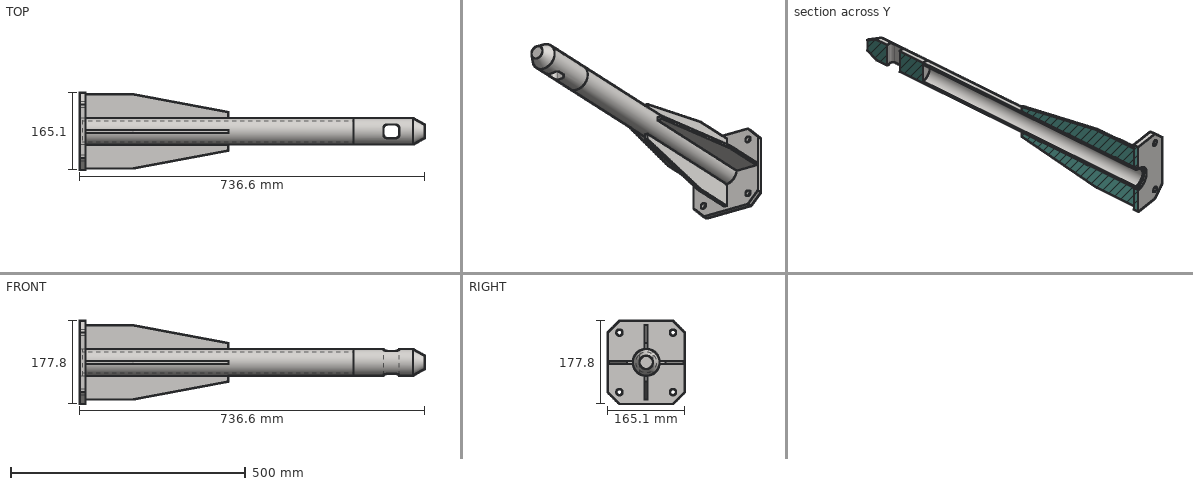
import cadquery as cq

INCH = 25.4

plate_thickness = 0.5 * INCH
plate_width = 6.5 * INCH
plate_height = 7.0 * INCH
plate_corner_cut = 1.0 * INCH
bolt_hole_diameter = 0.5 * INCH
bolt_hole_inset = 1.0 * INCH

overall_length = 29.0 * INCH
tube_diameter = 2.25 * INCH
tube_wall = 0.25 * INCH
tube_recess = 0.25 * INCH

tip_length = 6.0 * INCH
tip_start = overall_length - tip_length
cone_length = 1.0 * INCH
cone_end_diameter = 1.125 * INCH

slot_length = 1.3125 * INCH
slot_width = 1.125 * INCH
slot_corner_radius = 0.3125 * INCH
slot_to_end = 2.8125 * INCH

fin_count = 4
fin_thickness = 0.25 * INCH
fin_length = 12.0 * INCH
fin_straight_length = 4.0 * INCH
fin_root_reach = 3.125 * INCH
fin_end_reach = 1.625 * INCH


def cylinder_along_x(diameter, start, end):
    return cq.Workplane("YZ", origin=(start, 0, 0)).circle(diameter / 2).extrude(end - start)


def make_plate():
    """Plate with cut corners, a bore for the tube and a bolt hole near each corner."""
    bolt_spacing_y = plate_width - 2 * bolt_hole_inset
    bolt_spacing_z = plate_height - 2 * bolt_hole_inset
    blank = (
        cq.Workplane("YZ")
        .rect(plate_width, plate_height)
        .extrude(plate_thickness)
        .edges("|X")
        .chamfer(plate_corner_cut)
    )
    bolt_holes = (
        cq.Workplane("YZ")
        .rect(bolt_spacing_y, bolt_spacing_z, forConstruction=True)
        .vertices()
        .circle(bolt_hole_diameter / 2)
        .extrude(plate_thickness)
    )
    return blank.cut(bolt_holes).cut(cylinder_along_x(tube_diameter, 0, plate_thickness))


def make_tube():
    """Open tube from its seat in the plate to the tip."""
    bore_diameter = tube_diameter - 2 * tube_wall
    outside = cylinder_along_x(tube_diameter, tube_recess, tip_start)
    return outside.cut(cylinder_along_x(bore_diameter, tube_recess, tip_start))


def make_tip():
    """Solid round tip with a conical nose and a slot from top to bottom."""
    cone_start = overall_length - cone_length
    profile = [
        (tip_start, 0),
        (tip_start, tube_diameter / 2),
        (cone_start, tube_diameter / 2),
        (overall_length, cone_end_diameter / 2),
        (overall_length, 0),
    ]
    body = cq.Workplane("XY").polyline(profile).close().revolve(360, (0, 0, 0), (1, 0, 0))
    slot = (
        cq.Workplane("XY", origin=(overall_length - slot_to_end, 0, 0))
        .rect(slot_length, slot_width)
        .extrude(tube_diameter / 2, both=True)
        .edges("|Z")
        .fillet(slot_corner_radius)
    )
    return body.cut(slot)


def make_fin(angle):
    """One tapered flat fin with its inner edge on the tube, turned about X by the angle in degrees."""
    fin_start = plate_thickness
    fin_end = fin_start + fin_length
    outline = [
        (fin_start, tube_diameter / 2),
        (fin_start, fin_root_reach),
        (fin_start + fin_straight_length, fin_root_reach),
        (fin_end, fin_end_reach),
        (fin_end, tube_diameter / 2),
    ]
    fin = cq.Workplane("XY").polyline(outline).close().extrude(fin_thickness / 2, both=True)
    return fin.rotate((0, 0, 0), (1, 0, 0), angle)


plate = make_plate()
tube = make_tube()
tip = make_tip()
fins = [make_fin(i * 360 / fin_count) for i in range(fin_count)]

result = cq.Compound.makeCompound(
    [plate.val(), tube.val(), tip.val(), *[fin.val() for fin in fins]]
)